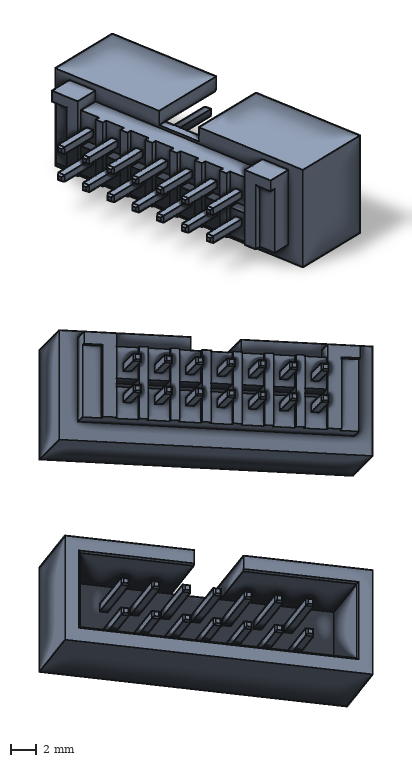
import cadquery as cq

length = 25.4
total_depth = 12.7
height = 8.9

shroud_depth = 7.1
wall = 1.3
back_wall = 0.75
mouth_chamfer = 0.15
notch_width = 4.06

standoff_depth = 2.2
block_margin = 1.52
rib_relief = 0.4
rib_width = 0.74
groove_height = 0.69
foot_outer_x = 11.2
foot_inner_x = 8.55
foot_top_margin = 0.53
foot_recess_width = 1.52
foot_recess_depth = 0.53

pitch = 2.55
columns = 7
rows = 2
pin_size = 0.64
pin_tip_size = 0.38
pin_taper = 0.23
pin_setback = 0.23

shroud_back = -shroud_depth
standoff_back = shroud_back - standoff_depth
cell_floor = standoff_back + rib_relief
block_bottom = block_margin
block_top = height - block_margin
foot_top = height - foot_top_margin
mid_height = height / 2
block_z = (block_bottom, block_top)


def box(x_range, y_range, z_range):
    """Axis-aligned box between two limits on each axis, given in either order."""
    ranges = (x_range, y_range, z_range)
    low_corner = tuple(min(limits) for limits in ranges)
    sizes = [max(limits) - min(limits) for limits in ranges]
    return cq.Workplane("XY").box(*sizes, centered=False).translate(low_corner)


def centered_range(width, middle=0.0):
    """Limits of a span of the given width about its middle."""
    return (middle - width / 2, middle + width / 2)


def pitch_positions(count):
    """Positions of evenly pitched items, centered on zero."""
    return [(i - (count - 1) / 2) * pitch for i in range(count)]


def make_shroud():
    """Box open towards +Y, with a keying notch through its top wall."""
    shell = box(centered_range(length), (shroud_back, 0), (0, height))
    cavity = box(
        centered_range(length - 2 * wall),
        (shroud_back + back_wall, 0),
        (wall, height - wall),
    )
    shell = shell.cut(cavity)
    cavity_rim = shell.faces(">Y").wires(cq.selectors.LengthNthSelector(0))
    shell = cavity_rim.edges().chamfer(mouth_chamfer)
    notch = box(centered_range(notch_width), (shroud_back, 0), (height - wall, height))
    return shell.cut(notch)


def make_foot(side):
    """Standoff foot on one side (-1 or 1), with a shallow recess in its outer rear corner."""
    outer = side * foot_outer_x
    inner = side * foot_inner_x
    recess_inner = outer - side * foot_recess_width
    recess_floor = standoff_back + foot_recess_depth
    foot = box((inner, outer), (shroud_back, standoff_back), (block_bottom, foot_top))
    recess = box((recess_inner, outer), (recess_floor, standoff_back), block_z)
    return foot.cut(recess)


def make_standoff():
    """Block between the feet, grooved between the pin rows and ribbed between the pin columns."""
    span = (-foot_inner_x, foot_inner_x)
    block_y = (shroud_back, cell_floor)
    standoff = box(span, block_y, block_z)
    groove_z = centered_range(groove_height, mid_height)
    standoff = standoff.cut(box(span, block_y, groove_z))
    for x in pitch_positions(columns - 1):
        rib = box(centered_range(rib_width, x), (shroud_back, standoff_back), block_z)
        standoff = standoff.union(rib)
    for side in (-1, 1):
        standoff = standoff.union(make_foot(side))
    return standoff


def make_pin():
    """Square contact along the Y axis, tapered at both ends."""
    shaft_front = pin_setback + pin_taper
    shaft_back = total_depth - pin_taper
    plane = cq.Workplane("XZ")
    shaft = plane.workplane(offset=shaft_front).rect(pin_size, pin_size)
    pin = shaft.extrude(shaft_back - shaft_front)
    for shaft_end, tip_end in ((shaft_front, pin_setback), (shaft_back, total_depth)):
        tip_base = plane.workplane(offset=shaft_end).rect(pin_size, pin_size)
        tip = tip_base.workplane(offset=tip_end - shaft_end).rect(pin_tip_size, pin_tip_size).loft()
        pin = pin.union(tip)
    return pin


result = make_shroud().union(make_standoff())
contact = make_pin()
for pin_x in pitch_positions(columns):
    for row_offset in pitch_positions(rows):
        result = result.union(contact.translate((pin_x, 0, mid_height + row_offset)))